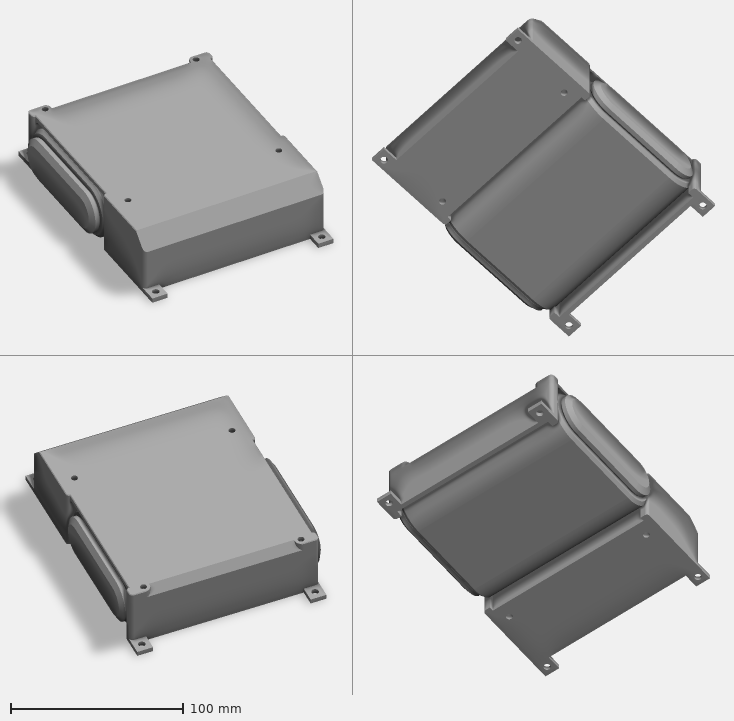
import cadquery as cq
import math

overall_length = 162.0
foot_size = 10.0
case_length = overall_length - 2 * foot_size
case_width = 120.0
case_height = 39.4
wall = 3.0
corner_radius = 2.5
top_edge_bevel = 0.5
end_slope = 9.9
rim_slope = 5.0

recess_depth = 2.0
window_start = -64.0
window_end = 20.9
window_corner = 4.0

foot_thickness = 3.0
foot_hole_diameter = 4.4
screw_hole_diameter = 4.0
boss_diameter = 8.0
screw_hole_inset = 10.0
screw_hole_x = 33.0
boss_x = -case_length / 2 + boss_diameter / 2

track_straight = 54.0
track_x = -22.2
core_height = 36.0
core_length = track_straight + core_height
core_clearance = 1.0
core_end_height = 32.0
core_end_taper = 2.0
button_base_height = 25.6
button_height = 28.0
button_face_height = 20.1
button_undercut = 1.1
button_rim = 2.6
button_bevel = 2.3
button_depth = button_undercut + button_rim + button_bevel
front_face_y = -66.0
back_face_y = 62.0
core_front_y = front_face_y + button_depth
core_back_y = back_face_y - button_depth

half_length = case_length / 2
half_width = case_width / 2
lid_bottom = case_height - wall
screw_hole_y = half_width - screw_hole_inset


def racetrack(y, height):
    """Racetrack outline of the given height, lying in the plane at Y = y."""
    plane = cq.Plane(origin=(track_x, y, core_height / 2), xDir=(1, 0, 0), normal=(0, -1, 0))
    return cq.Workplane(plane).slot2D(track_straight + height, height)


def racetrack_frustum(y_from, height_from, y_to, height_to):
    """Racetrack solid whose outline changes evenly from one height to another."""
    start = racetrack(y_from, height_from).ctx.pendingWires[0]
    end = racetrack(y_to, height_to).ctx.pendingWires[0]
    return cq.Workplane(cq.Solid.makeLoft([start, end], True))


def racetrack_stack(sections):
    """Union of the frustums between consecutive (y, height) sections."""
    body = None
    for (y_from, height_from), (y_to, height_to) in zip(sections, sections[1:]):
        step = racetrack_frustum(y_from, height_from, y_to, height_to)
        body = step if body is None else body.union(step)
    return body


def make_core():
    """Racetrack bar along Y, tapered at both ends."""
    return racetrack_stack([
        (core_front_y, core_end_height),
        (core_front_y + core_end_taper, core_height),
        (core_back_y - core_end_taper, core_height),
        (core_back_y, core_end_height),
    ])


def make_button(base_y, direction):
    """Button on the core end at base_y, growing along Y in the given direction."""
    rim_start = base_y + direction * button_undercut
    rim_end = rim_start + direction * button_rim
    return racetrack_stack([
        (base_y, button_base_height),
        (rim_start, button_height),
        (rim_end, button_height),
        (rim_end + direction * button_bevel, button_face_height),
    ])


def side_recess(side):
    """Cutter for the step in one long side; side is -1 for -Y and +1 for +Y."""
    outer = side * half_width
    inner = side * (half_width - recess_depth)
    return (
        cq.Workplane("XY")
        .moveTo(window_start - recess_depth, outer)
        .radiusArc((window_start, inner), side * recess_depth)
        .lineTo(window_end, inner)
        .radiusArc((window_end + recess_depth, outer), side * recess_depth)
        .close()
        .extrude(case_height)
    )


def slope_prism(end_x, size, width):
    """Wedge that cuts a 45 degree slope of the given size along the top edge at X = end_x."""
    inward = math.copysign(size, -end_x)
    return (
        cq.Workplane("XZ", origin=(0, width / 2, 0))
        .moveTo(end_x, case_height)
        .lineTo(end_x + inward, case_height)
        .lineTo(end_x, case_height - size)
        .close()
        .extrude(width)
    )


def make_block():
    """Outer block with rounded upright corners, recessed sides and bevelled top edges."""
    block = cq.Workplane("XY").box(case_length, case_width, case_height, centered=(True, True, False))
    block = block.edges("|Z").fillet(corner_radius)
    for side in (-1, 1):
        block = block.cut(side_recess(side))
    block = block.faces(">Z").edges().chamfer(top_edge_bevel)
    return block.cut(slope_prism(half_length, end_slope, case_width))


def make_window():
    """Opening through both long sides, from the bottom up to the lid, with rounded top corners."""
    length = window_end - window_start
    return (
        cq.Workplane("XY").box(length, case_width, lid_bottom, centered=(False, True, False))
        .edges("|Y and >Z").fillet(window_corner)
        .translate((window_start, 0, 0))
    )


def make_chamber():
    """Room for the core behind the windows, with the same clearance at both round ends."""
    length = core_length + 2 * core_clearance
    width = case_width - 2 * (recess_depth + wall)
    return (
        cq.Workplane("XY").box(length, width, lid_bottom, centered=(True, True, False))
        .translate((track_x, 0, 0))
    )


def make_rim_cutter():
    """Slope along the -X top edge, ending in round bosses at the two -X screw holes."""
    prism = slope_prism(-half_length, rim_slope, 2 * screw_hole_y)
    bosses = (
        cq.Workplane("XY").pushPoints([(boss_x, -screw_hole_y), (boss_x, screw_hole_y)])
        .circle(boss_diameter / 2).extrude(case_height)
    )
    return prism.cut(bosses)


def make_screw_holes():
    """Holes through the lid at the bosses, and through the whole block at the +X end."""
    holes = cq.Workplane("XY")
    for x, bottom in ((boss_x, lid_bottom), (screw_hole_x, 0)):
        for y in (-screw_hole_y, screw_hole_y):
            hole = cq.Workplane("XY", origin=(x, y, bottom)).circle(screw_hole_diameter / 2)
            holes = holes.add(hole.extrude(case_height - bottom))
    return holes.combine()


def make_foot(x_side, y_side):
    """Square tab with a hole; its inner end fills out the rounded corner of the box."""
    length = foot_size + corner_radius
    foot = (
        cq.Workplane("XY").box(length, foot_size, foot_thickness, centered=(True, True, False))
        .translate((x_side * (overall_length - length) / 2, y_side * (half_width - foot_size / 2), 0))
    )
    hole = (
        cq.Workplane("XY")
        .center(x_side * (overall_length - foot_size) / 2, y_side * (half_width - foot_size / 2))
        .circle(foot_hole_diameter / 2).extrude(foot_thickness)
    )
    return foot.cut(hole)


def make_housing(core):
    """Block with its openings, holes and feet, fitted around the core."""
    housing = make_block().cut(make_window()).cut(make_chamber())
    housing = housing.cut(make_rim_cutter()).cut(make_screw_holes())
    for x_side in (-1, 1):
        for y_side in (-1, 1):
            housing = housing.union(make_foot(x_side, y_side))
    return housing.cut(core)


core = make_core()
housing = make_housing(core)
buttons = [make_button(y, direction) for y, direction in ((core_front_y, -1), (core_back_y, 1))]

result = cq.Compound.makeCompound([housing.val(), core.val(), *(button.val() for button in buttons)])